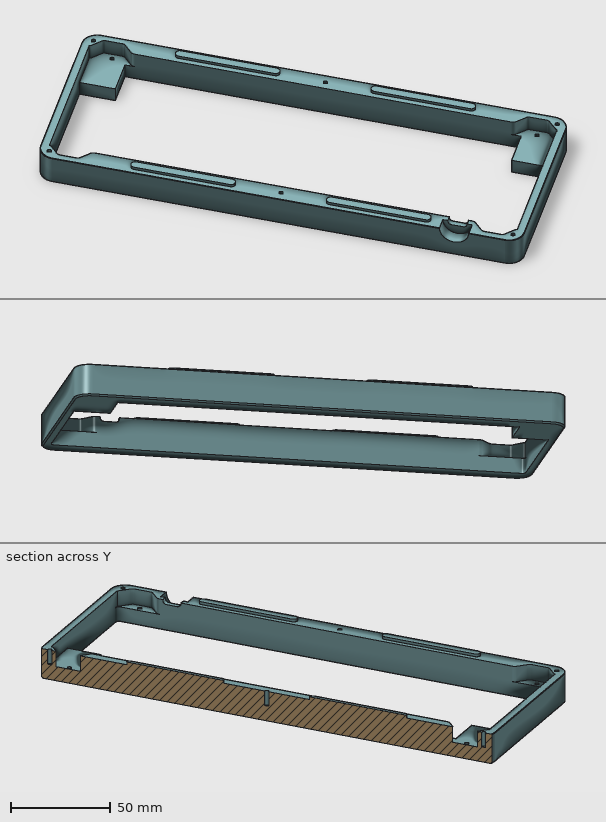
import cadquery as cq

LENGTH = 252.89
WIDTH = 96.2
FRAME_HEIGHT = 16.5
OUTER_RADIUS = 8.0
SIDE_WALL = 4.2
LONG_WALL = 9.6
INNER_RADIUS = 2.0
BOTTOM_CHAMFER = 0.8
TOP_CHAMFER = 0.25
OPENING_LENGTH = LENGTH - 2 * SIDE_WALL
OPENING_WIDTH = WIDTH - 2 * LONG_WALL
HALF_OPENING_X = OPENING_LENGTH / 2
HALF_OPENING_Y = OPENING_WIDTH / 2
WALL_CENTRE_Y = HALF_OPENING_Y + LONG_WALL / 2

OVERALL_HEIGHT = 18.0
RIDGE_HEIGHT = OVERALL_HEIGHT - FRAME_HEIGHT
RIDGE_LENGTH = 54.5
RIDGE_WIDTH = 4.2
RIDGE_X = 51.1

BLOCK_SIZE = 18.7
BLOCK_HEIGHT = 8.0

POCKET_X = 110.9
POCKET_FLOOR = BLOCK_HEIGHT
POCKET_DEPTH = 6.0
POCKET_MOUTH = 22.2
POCKET_BACK = 10.8
POCKET_BACK_RADIUS = 2.2
POCKET_MOUTH_RADIUS = 3.0

HOLE_DIAMETER = 2.08
HOLE_DEPTH = 8.0
POCKET_HOLE_DEPTH = 6.0
CORNER_HOLE_X = 121.2
HOLE_Y = 43.0
POCKET_HOLE_X = 111.0
POCKET_HOLE_Y = 41.4

OUTLET_X = 91.7
OUTLET_RADIUS = 7.6
OUTLET_DEPTH = 6.7
SLOT_WIDTH = 10.0
SLOT_DEPTH = 2.4
SLOT_RADIUS = 2.0


def make_frame():
    shell = cq.Workplane("XY").box(LENGTH, WIDTH, FRAME_HEIGHT, centered=(True, True, False))
    shell = shell.edges("|Z").fillet(OUTER_RADIUS)
    shell = shell.faces("<Z").edges().chamfer(BOTTOM_CHAMFER)
    shell = shell.faces(">Z").edges().chamfer(TOP_CHAMFER)
    opening = cq.Workplane("XY").box(
        OPENING_LENGTH, OPENING_WIDTH, FRAME_HEIGHT, centered=(True, True, False)
    )
    return shell.cut(opening.edges("|Z").fillet(INNER_RADIUS))


def make_ridges():
    """Four round-ended ridges standing on the long walls."""
    return (
        cq.Workplane("XY", origin=(0, 0, FRAME_HEIGHT))
        .rarray(2 * RIDGE_X, 2 * WALL_CENTRE_Y, 2, 2)
        .slot2D(RIDGE_LENGTH, RIDGE_WIDTH)
        .extrude(RIDGE_HEIGHT)
    )


def make_blocks():
    """Square blocks against the rear long wall and each short wall."""
    centre_x = HALF_OPENING_X - BLOCK_SIZE / 2
    centre_y = HALF_OPENING_Y - BLOCK_SIZE / 2
    return (
        cq.Workplane("XY")
        .pushPoints([(-centre_x, centre_y), (centre_x, centre_y)])
        .rect(BLOCK_SIZE, BLOCK_SIZE)
        .extrude(BLOCK_HEIGHT)
    )


def make_pocket():
    """Trapezoidal pocket at the corner on +X and +Y, with a rounded back and mouth.

    The cutter also takes in a strip of the opening, so that the rounded mouth
    runs out into the inner face of the wall. It ends at the short wall.
    """
    half_mouth = POCKET_MOUTH / 2
    half_back = POCKET_BACK / 2
    half_strip = half_mouth + POCKET_MOUTH_RADIUS
    pocket = (
        cq.Workplane("XY", origin=(POCKET_X, HALF_OPENING_Y, POCKET_FLOOR))
        .moveTo(-half_strip, -INNER_RADIUS)
        .lineTo(-half_strip, 0)
        .lineTo(-half_mouth, 0)
        .lineTo(-half_back, POCKET_DEPTH)
        .lineTo(half_back, POCKET_DEPTH)
        .lineTo(half_mouth, 0)
        .lineTo(half_strip, 0)
        .lineTo(half_strip, -INNER_RADIUS)
        .close()
        .extrude(FRAME_HEIGHT - POCKET_FLOOR)
    )
    pocket = pocket.faces(">Y").edges("|Z").fillet(POCKET_BACK_RADIUS)
    middle_z = (POCKET_FLOOR + FRAME_HEIGHT) / 2
    for mouth_x in (POCKET_X - half_mouth, POCKET_X + half_mouth):
        mouth_edge = cq.selectors.NearestToPointSelector((mouth_x, HALF_OPENING_Y, middle_z))
        pocket = pocket.edges(mouth_edge).fillet(POCKET_MOUTH_RADIUS)
    between_short_walls = cq.Workplane("XY").box(OPENING_LENGTH, WIDTH, 2 * FRAME_HEIGHT)
    return pocket.intersect(between_short_walls)


def make_pockets():
    """The corner pocket mirrored into all four corners."""
    right_pockets = make_pocket().mirror("XZ", union=True)
    return right_pockets.mirror("YZ", union=True)


def make_holes(points, top, depth):
    """Blind vertical holes drilled down from the given level."""
    return cq.Workplane("XY", origin=(0, 0, top)).pushPoints(points).circle(HOLE_DIAMETER / 2).extrude(-depth)


def make_outlet():
    """Half-round recess in the front face, with a shallow slot through to the inside."""
    recess = (
        cq.Workplane("XZ", origin=(OUTLET_X, -WIDTH / 2, FRAME_HEIGHT))
        .circle(OUTLET_RADIUS)
        .extrude(-OUTLET_DEPTH)
    )
    slot = (
        cq.Workplane("XY")
        .box(SLOT_WIDTH, LONG_WALL, SLOT_DEPTH)
        .edges("|Y and <Z")
        .fillet(SLOT_RADIUS)
        .translate((OUTLET_X, -WALL_CENTRE_Y, FRAME_HEIGHT - SLOT_DEPTH / 2))
    )
    return recess.union(slot)


rim_hole_points = [(x, y) for x in (-CORNER_HOLE_X, 0, CORNER_HOLE_X) for y in (-HOLE_Y, HOLE_Y)]
pocket_hole_points = [(x, y) for x in (-POCKET_HOLE_X, POCKET_HOLE_X) for y in (-POCKET_HOLE_Y, POCKET_HOLE_Y)]

result = make_frame().union(make_blocks()).union(make_ridges())
result = result.cut(make_pockets())
result = result.cut(make_holes(rim_hole_points, FRAME_HEIGHT, HOLE_DEPTH))
result = result.cut(make_holes(pocket_hole_points, POCKET_FLOOR, POCKET_HOLE_DEPTH))
result = result.cut(make_outlet())